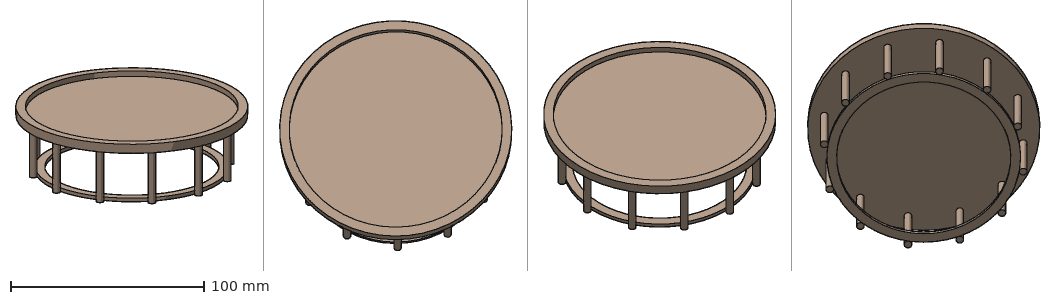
import cadquery as cq

tray_diameter = 120.0
tray_height = 5.0
recess_diameter = 110.0
recess_depth = 3.0

overall_height = 35.0
leg_height = overall_height - tray_height
leg_count = 12
leg_diameter = 4.0
leg_circle_diameter = 104.0

hoop_outer_diameter = leg_circle_diameter - leg_diameter
hoop_inner_diameter = 90.0
hoop_height = 2.0


def make_tray():
    """Recessed round tray raised to the tops of the legs."""
    plate = cq.Workplane("XY").workplane(offset=leg_height).circle(tray_diameter / 2).extrude(tray_height)
    return plate.faces(">Z").workplane().circle(recess_diameter / 2).cutBlind(-recess_depth)


def make_legs():
    """Evenly spaced round legs from the floor to the tray, the first one on +X."""
    return (
        cq.Workplane("XY")
        .polarArray(leg_circle_diameter / 2, 0, 360, leg_count)
        .circle(leg_diameter / 2)
        .extrude(leg_height)
    )


def make_hoop():
    """Flat ring standing on the floor inside the circle of legs."""
    return (
        cq.Workplane("XY")
        .circle(hoop_outer_diameter / 2)
        .circle(hoop_inner_diameter / 2)
        .extrude(hoop_height)
    )


table = make_tray().union(make_legs())
hoop = make_hoop()

result = cq.Compound.makeCompound([table.val(), hoop.val()])